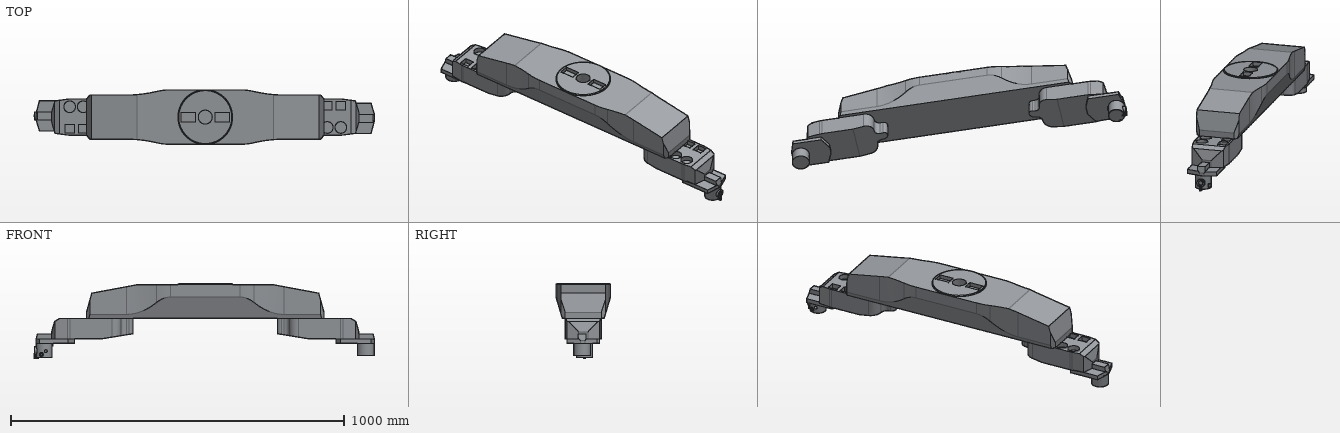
import cadquery as cq
import math


bridge_half_length = 356.5
bridge_height = 101.3
bridge_shoulder_x = 205.0
bridge_end_top_x = 340.5
bridge_end_top_z = 76.0
bridge_end_band_z = 18.5
bridge_corner_x = 10.5
bridge_corner_y = 12.5

middle_half_width = 82.0
end_half_width = 66.5
middle_flat_x = 103.5
taper_bend_x = 146.7
end_flat_x = 235.6
flank_low_z = 12.3
flank_high_z = 64.5

spigot_diameter = 2 * middle_half_width
spigot_height = 3.2
spigot_chamfer = 2.5
bridge_top = bridge_height + spigot_height
bore_diameter = 42.0
bore_depth = 40.0
keyway_inner_x = 28.5
keyway_outer_x = 72.5
keyway_width = 28.5
keyway_depth = 12.0

slide_half_width = 54.5
slide_bottom_z = -61.6
slide_front_x = -461.0
slide_front_half_flat = 14.0
slide_front_bend_z = -40.0
slide_brow_x = -452.0
slide_brow_z = -9.0
slide_top_edge_x = -437.0
slide_corner_x = -450.5
slide_corner_y = 49.0
slide_bend_x = -409.7
slide_bend_reach = 3.7
slide_rise_x = -311.5
nose_end_x = -216.0
nose_bottom_z = -46.0
nose_diameter = 24.0
shoulder_radius = 27.0
shoulder_face_x = -252.0

pocket_x = (-406.5, -366.0)
pocket_depth = 15.0
round_pocket_diameter = 35.0
round_pocket_y = 31.0
square_pocket_length = 28.0
square_pocket_width = 26.0
square_pocket_y = -34.5

tool_offset_y = 3.7
plate_bottom_z = -74.5
plate_half_width = 45.5
plate_tip_x = -508.2
plate_tip_low_y = -5.5
plate_tip_high_y = 8.5
plate_front_x = -497.5
plate_rear_x = -392.0
plate_rear_low_x = -411.0
plate_rear_high_x = -405.0
key_half_width = 12.0
key_top_z = -46.5
key_top_front_x = -503.8
key_slope_foot_z = -66.0

counterweight_diameter = 51.0
counterweight_x = 482.0
counterweight_bottom_z = -111.5

holder_x = -483.2
holder_diameter = 48.5
lug_reach = 3.0
lug_width = 8.0
lug_height = 8.0
holder_bottom_z = -117.4
holder_chamfer = 1.0
clamp_screw_x = -491.5
clamp_screw_z = -108.0
clamp_counterbore_diameter = 12.02
clamp_counterbore_depth = 4.0
clamp_hole_diameter = 6.0
clamp_hole_depth = 8.0
lock_hole_x = -478.0
lock_hole_z = -98.0
lock_hole_diameter = 8.5
lock_hole_depth = 14.0

cutter_diameter = 24.0
cutter_z = -96.5
cutter_front_x = -512.5
cutter_rear_x = -490.0
cutter_socket_diameter = 13.6
cutter_socket_depth = 3.0
insert_tip_x = -514.19
insert_tip_z = -120.5
insert_length = 14.0
insert_height = 16.0
insert_thickness = 5.0
insert_hole_diameter = 4.7


def box_between(x_range, y_range, z_range):
    """Box filling the given ranges along X, Y and Z."""
    size = [high - low for low, high in (x_range, y_range, z_range)]
    return cq.Workplane("XY").box(*size, centered=False).translate((x_range[0], y_range[0], z_range[0]))


def half_turn(body):
    """Copy of a left-hand body, turned to the right-hand end."""
    return body.rotate((0, 0, 0), (0, 0, 1), 180)


def bridge_quarter_plan():
    """A quarter of the bridge outline, with an S-shaped taper made of two tangent arcs."""
    drop = middle_half_width - end_half_width
    run = end_flat_x - middle_flat_x
    bend_angle = 2 * math.atan(drop / run)
    mid_angle = bend_angle / 2
    convex_radius = (taper_bend_x - middle_flat_x) / math.sin(bend_angle)
    concave_radius = (end_flat_x - taper_bend_x) / math.sin(bend_angle)
    convex_mid = (middle_flat_x + convex_radius * math.sin(mid_angle),
                  middle_half_width - convex_radius * (1 - math.cos(mid_angle)))
    concave_mid = (end_flat_x - concave_radius * math.sin(mid_angle),
                   end_half_width + concave_radius * (1 - math.cos(mid_angle)))
    bend = (taper_bend_x, middle_half_width - convex_radius * (1 - math.cos(bend_angle)))
    corner_y = end_half_width - bridge_corner_y
    corner_x = bridge_half_length - bridge_corner_x
    return (
        cq.Workplane("XY")
        .moveTo(0, middle_half_width)
        .lineTo(middle_flat_x, middle_half_width)
        .threePointArc(convex_mid, bend)
        .threePointArc(concave_mid, (end_flat_x, end_half_width))
        .lineTo(corner_x, end_half_width)
        .lineTo(bridge_half_length, corner_y)
        .lineTo(bridge_half_length, 0)
        .lineTo(0, 0)
        .close()
    )


def make_bridge():
    quarter = bridge_quarter_plan().extrude(bridge_height)
    half = quarter.union(quarter.mirror("XZ"))
    plan = half.union(half.mirror("YZ"))

    side = (
        cq.Workplane("XZ")
        .polyline([
            (-bridge_half_length, 0),
            (-bridge_half_length, bridge_end_band_z),
            (-bridge_end_top_x, bridge_end_top_z),
            (-bridge_shoulder_x, bridge_height),
            (bridge_shoulder_x, bridge_height),
            (bridge_end_top_x, bridge_end_top_z),
            (bridge_half_length, bridge_end_band_z),
            (bridge_half_length, 0),
        ])
        .close()
        .extrude(middle_half_width, both=True)
    )

    flank_slope = (middle_half_width - end_half_width) / (flank_high_z - flank_low_z)
    foot_half_width = end_half_width - flank_slope * flank_low_z
    section = (
        cq.Workplane("YZ")
        .polyline([
            (-foot_half_width, 0),
            (-middle_half_width, flank_high_z),
            (-middle_half_width, bridge_height),
            (middle_half_width, bridge_height),
            (middle_half_width, flank_high_z),
            (foot_half_width, 0),
        ])
        .close()
        .extrude(bridge_half_length, both=True)
    )

    spigot = (
        cq.Workplane("XY")
        .workplane(offset=bridge_height)
        .circle(spigot_diameter / 2)
        .extrude(spigot_height)
        .faces(">Z")
        .chamfer(spigot_chamfer)
    )
    body = plan.intersect(side).intersect(section).union(spigot)

    bore = (
        cq.Workplane("XY")
        .workplane(offset=bridge_top - bore_depth)
        .circle(bore_diameter / 2)
        .extrude(bore_depth)
    )
    body = body.cut(bore)
    keyway = box_between(
        (keyway_inner_x, keyway_outer_x),
        (-keyway_width / 2, keyway_width / 2),
        (bridge_top - keyway_depth, bridge_top),
    )
    return body.cut(keyway).cut(half_turn(keyway))


def slide_half_plan():
    """The +Y half of the slide outline, from the bevelled front to the round nose."""
    nose_radius = nose_diameter / 2
    fillet_radius = slide_half_width - shoulder_radius - nose_radius
    nose_centre_x = nose_end_x - nose_radius
    diagonal = math.sqrt(0.5)
    taper_angle = math.atan((slide_half_width - slide_corner_y) / (slide_bend_x - slide_corner_x))
    bend_start = (slide_bend_x - slide_bend_reach * math.cos(taper_angle),
                  slide_half_width - slide_bend_reach * math.sin(taper_angle))
    bend_end = (slide_bend_x + slide_bend_reach, slide_half_width)
    shoulder_centre = (shoulder_face_x - shoulder_radius, slide_half_width - shoulder_radius)
    shoulder_mid = tuple(c + shoulder_radius * diagonal for c in shoulder_centre)
    fillet_centre = (shoulder_face_x + fillet_radius, nose_radius + fillet_radius)
    fillet_mid = tuple(c - fillet_radius * diagonal for c in fillet_centre)
    nose_mid = (nose_centre_x + nose_radius * diagonal, nose_radius * diagonal)
    return (
        cq.Workplane("XY")
        .moveTo(slide_front_x, 0)
        .lineTo(slide_front_x, slide_front_half_flat)
        .lineTo(slide_corner_x, slide_corner_y)
        .lineTo(*bend_start)
        .tangentArcPoint(bend_end, relative=False)
        .lineTo(shoulder_centre[0], slide_half_width)
        .threePointArc(shoulder_mid, (shoulder_face_x, shoulder_centre[1]))
        .threePointArc(fillet_mid, (fillet_centre[0], nose_radius))
        .lineTo(nose_centre_x, nose_radius)
        .threePointArc(nose_mid, (nose_end_x, 0))
        .close()
    )


def make_slide():
    half = slide_half_plan().extrude(slide_bottom_z)
    plan = half.union(half.mirror("XZ"))
    side = (
        cq.Workplane("XZ")
        .polyline([
            (slide_front_x, slide_bottom_z),
            (slide_front_x, slide_front_bend_z),
            (slide_brow_x, slide_brow_z),
            (slide_top_edge_x, 0),
            (nose_end_x, 0),
            (nose_end_x, nose_bottom_z),
            (slide_rise_x, slide_bottom_z),
        ])
        .close()
        .extrude(slide_half_width, both=True)
    )
    body = plan.intersect(side)

    for x in pocket_x:
        round_pocket = (
            cq.Workplane("XY")
            .center(x, round_pocket_y)
            .circle(round_pocket_diameter / 2)
            .extrude(-pocket_depth)
        )
        square_pocket = (
            cq.Workplane("XY")
            .center(x, square_pocket_y)
            .rect(square_pocket_length, square_pocket_width)
            .extrude(-pocket_depth)
        )
        body = body.cut(round_pocket).cut(square_pocket)
    return body


def make_plate():
    """Pointed plate under the slide, with a key standing in front of the slide."""
    low_y = tool_offset_y - plate_half_width
    high_y = tool_offset_y + plate_half_width
    key_low_y = tool_offset_y - key_half_width
    key_high_y = tool_offset_y + key_half_width
    outline = (
        cq.Workplane("XY")
        .workplane(offset=plate_bottom_z)
        .polyline([
            (plate_front_x, low_y),
            (plate_rear_low_x, low_y),
            (plate_rear_x, key_low_y),
            (plate_rear_x, key_high_y),
            (plate_rear_high_x, high_y),
            (plate_front_x, high_y),
            (plate_tip_x, plate_tip_high_y),
            (plate_tip_x, plate_tip_low_y),
        ])
        .close()
        .extrude(key_top_z - plate_bottom_z)
    )
    whole_length = (plate_tip_x, plate_rear_x)
    plate = outline.intersect(box_between(whole_length, (low_y, high_y), (plate_bottom_z, slide_bottom_z)))
    key = outline.intersect(
        box_between((plate_tip_x, slide_front_x), (key_low_y, key_high_y), (slide_bottom_z, key_top_z))
    )
    front_slope = (
        cq.Workplane("XZ", origin=(0, high_y, 0))
        .polyline([
            (plate_tip_x, key_slope_foot_z),
            (key_top_front_x, key_top_z),
            (plate_tip_x, key_top_z),
        ])
        .close()
        .extrude(high_y - low_y)
    )
    return plate.union(key).cut(front_slope)


def make_counterweight():
    return (
        cq.Workplane("XY")
        .workplane(offset=plate_bottom_z)
        .center(counterweight_x, -tool_offset_y)
        .circle(counterweight_diameter / 2)
        .extrude(counterweight_bottom_z - plate_bottom_z)
    )


def cutter_cylinder():
    return (
        cq.Workplane("YZ", origin=(cutter_front_x, tool_offset_y, cutter_z))
        .circle(cutter_diameter / 2)
        .extrude(cutter_rear_x - cutter_front_x)
    )


def front_hole(x, z, diameter, depth):
    """Hole into the holder from its -Y side, its depth measured from the holder's surface."""
    holder_radius = holder_diameter / 2
    surface_y = tool_offset_y - math.sqrt(holder_radius ** 2 - (x - holder_x) ** 2)
    outside_y = tool_offset_y - holder_diameter
    return (
        cq.Workplane("XZ", origin=(x, outside_y, z))
        .circle(diameter / 2)
        .extrude(-(surface_y + depth - outside_y))
    )


def make_insert():
    """Upright three-cornered cutting insert, its tip pointing outward and down."""
    insert_top_z = insert_tip_z + insert_height
    insert_rear_x = insert_tip_x + insert_length
    hole_x = insert_tip_x + insert_length / 3
    hole_z = insert_tip_z + insert_height / 3
    plane = cq.Workplane("XZ", origin=(0, tool_offset_y + insert_thickness / 2, 0))
    blade = (
        plane
        .polyline([
            (insert_tip_x, insert_tip_z),
            (insert_rear_x, insert_tip_z),
            (insert_tip_x, insert_top_z),
        ])
        .close()
        .extrude(insert_thickness)
    )
    hole = plane.center(hole_x, hole_z).circle(insert_hole_diameter / 2).extrude(insert_thickness)
    return blade.cut(hole)


def make_cutter(insert):
    """Pin carrying the insert, with a shallow socket in its outer end."""
    socket = (
        cq.Workplane("YZ", origin=(cutter_front_x, tool_offset_y, cutter_z))
        .circle(cutter_socket_diameter / 2)
        .extrude(cutter_socket_depth)
    )
    return cutter_cylinder().cut(socket).cut(insert)


def make_holder(insert):
    stem = (
        cq.Workplane("XY")
        .workplane(offset=plate_bottom_z)
        .center(holder_x, tool_offset_y)
        .circle(holder_diameter / 2)
        .extrude(holder_bottom_z - plate_bottom_z)
        .faces("<Z")
        .chamfer(holder_chamfer)
    )
    lug = box_between(
        (holder_x, holder_x + holder_diameter / 2 + lug_reach),
        (tool_offset_y - lug_width / 2, tool_offset_y + lug_width / 2),
        (plate_bottom_z - lug_height, plate_bottom_z),
    )
    body = stem.union(lug).cut(cutter_cylinder()).cut(insert)
    for diameter, depth in (
        (clamp_counterbore_diameter, clamp_counterbore_depth),
        (clamp_hole_diameter, clamp_hole_depth),
    ):
        body = body.cut(front_hole(clamp_screw_x, clamp_screw_z, diameter, depth))
    return body.cut(front_hole(lock_hole_x, lock_hole_z, lock_hole_diameter, lock_hole_depth))


bridge = make_bridge()
left_slide = make_slide()
right_slide = half_turn(left_slide)
left_plate = make_plate()
right_plate = half_turn(left_plate)
counterweight = make_counterweight()
insert = make_insert()
cutter = make_cutter(insert)
holder = make_holder(insert)

bodies = (
    bridge, left_slide, right_slide, left_plate, right_plate, counterweight, holder, cutter, insert,
)
result = cq.Compound.makeCompound([body.val() for body in bodies])